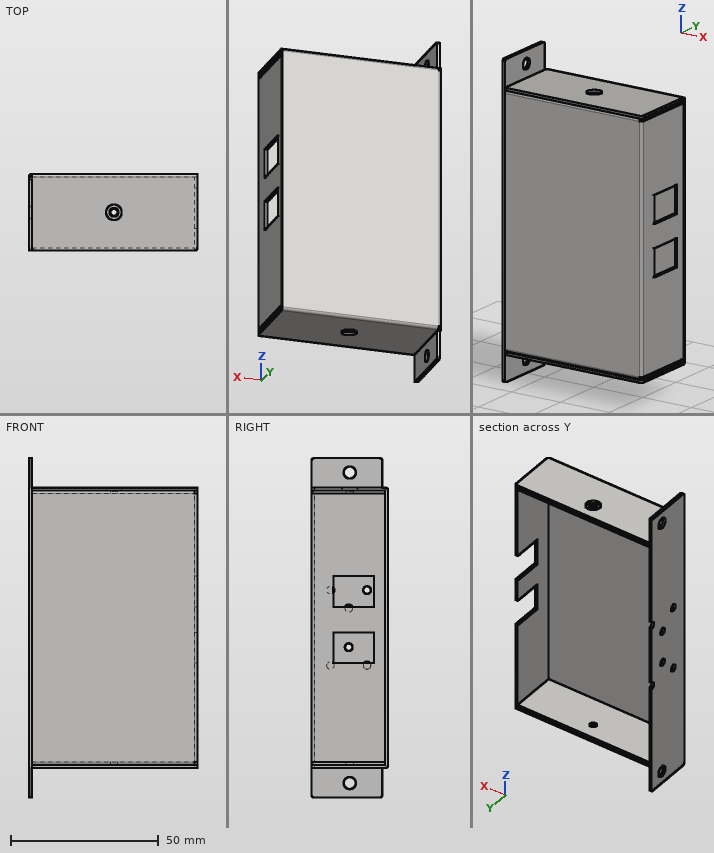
import cadquery as cq

LENGTH = 57.0
DEPTH = 26.0
PANEL_HEIGHT = 115.0
SHEET = 1.0

EAR_HEIGHT = 10.0
EAR_STEP = 2.0
EAR_HOLE_DIAMETER = 4.0
EAR_HOLE_FROM_END = 5.0

PANEL_HOLE_DIAMETER = 2.5
PANEL_HOLES_Y = 12.6
OUTER_HOLE_Y_OFFSET = 6.2
OUTER_HOLE_Z_OFFSET = 12.8
INNER_HOLE_Z_OFFSET = 6.5

SCREW_X = 28.8
FLANGE_HOLE_DIAMETER = 5.3
BORE_DIAMETER = 2.4
BORE_MOUTH_DIAMETER = 3.0

OPENING_WIDTH = 13.8
OPENING_HEIGHT = 10.4
OPENING_START_Y = 7.5
OPENING_BOTTOMS_Z = (-11.8, 7.1)

MID_Y = DEPTH / 2
BOX_TOP = PANEL_HEIGHT / 2 - EAR_HEIGHT
COVER_TOP = BOX_TOP - SHEET


def block(x_range, y_range, z_range):
    """Box between the given limits."""
    sizes = [end - start for start, end in (x_range, y_range, z_range)]
    corner = (x_range[0], y_range[0], z_range[0])
    return cq.Workplane("XY").box(*sizes, centered=False).translate(corner)


def x_cylinder(diameter, y, z):
    """Cutter along X through the front panel."""
    return cq.Workplane("YZ").center(y, z).circle(diameter / 2).extrude(SHEET)


def z_cylinder(diameter, bottom, height):
    """Cutter along Z on the axis of the flange screws."""
    return cq.Workplane("XY", origin=(SCREW_X, MID_Y, bottom)).circle(diameter / 2).extrude(height)


def bore_mouth(side):
    """Cone at 45 degrees, narrowing inwards from the top (side 1) or bottom (side -1) of the cover."""
    depth = (BORE_MOUTH_DIAMETER - BORE_DIAMETER) / 2
    mouth = cq.Workplane("XY", origin=(SCREW_X, MID_Y, side * COVER_TOP)).circle(BORE_MOUTH_DIAMETER / 2)
    return mouth.workplane(offset=-side * depth).circle(BORE_DIAMETER / 2).loft(ruled=True)


def front_panel():
    """Flat plate with rounded ears, mounting holes and small holes."""
    ears = block((0, SHEET), (0, DEPTH - EAR_STEP), (-PANEL_HEIGHT / 2, PANEL_HEIGHT / 2))
    ears = ears.edges("|X").fillet(SHEET)
    panel = ears.union(block((0, SHEET), (MID_Y, DEPTH - SHEET), (-BOX_TOP, BOX_TOP)))
    ear_hole_z = PANEL_HEIGHT / 2 - EAR_HOLE_FROM_END
    for side in (-1, 1):
        panel = panel.cut(x_cylinder(EAR_HOLE_DIAMETER, MID_Y, side * ear_hole_z))
        panel = panel.cut(x_cylinder(PANEL_HOLE_DIAMETER, PANEL_HOLES_Y, side * INNER_HOLE_Z_OFFSET))
        for y_offset in (-OUTER_HOLE_Y_OFFSET, OUTER_HOLE_Y_OFFSET):
            hole_z = side * OUTER_HOLE_Z_OFFSET
            panel = panel.cut(x_cylinder(PANEL_HOLE_DIAMETER, PANEL_HOLES_Y + y_offset, hole_z))
    return panel


def corner_reliefs(x_range, y_range, top):
    """Cutters one sheet thick in Z, for the corners at the top and bottom where bends meet."""
    upper = block(x_range, y_range, (top - SHEET, top))
    return upper.union(block(x_range, y_range, (-top, SHEET - top)))


def make_housing():
    """Front panel, back wall, and top and bottom flanges, bent from one sheet."""
    shell = block((0, LENGTH), (0, DEPTH), (-BOX_TOP, BOX_TOP))
    inside = block((0, LENGTH), (0, DEPTH - SHEET), (-COVER_TOP, COVER_TOP))
    walls = shell.faces(">Y").edges("|X or <X").fillet(SHEET)
    walls = walls.cut(inside)
    walls = walls.cut(block((0, SHEET), (0, DEPTH - SHEET), (-BOX_TOP, BOX_TOP)))
    walls = walls.cut(corner_reliefs((0, SHEET), (DEPTH - SHEET, DEPTH), BOX_TOP))
    walls = walls.edges("|Z and <Y").fillet(SHEET)
    walls = walls.cut(z_cylinder(FLANGE_HOLE_DIAMETER, -BOX_TOP, 2 * BOX_TOP))
    return walls.union(front_panel())


def make_cover():
    """Wall closing the open side, with an end wall and two flanges inside the housing."""
    back = DEPTH - SHEET
    shell = block((SHEET, LENGTH), (0, back), (-COVER_TOP, COVER_TOP))
    cover = shell.faces("<Y").edges("|X or >X").fillet(SHEET)
    inner_top = COVER_TOP - SHEET
    cover = cover.cut(block((SHEET, LENGTH - SHEET), (SHEET, back), (-inner_top, inner_top)))
    cover = cover.cut(corner_reliefs((LENGTH - SHEET, LENGTH), (0, back), COVER_TOP))
    cover = cover.cut(z_cylinder(BORE_DIAMETER, -COVER_TOP, 2 * COVER_TOP))
    for side in (-1, 1):
        cover = cover.cut(bore_mouth(side))
    opening_y = (OPENING_START_Y, OPENING_START_Y + OPENING_WIDTH)
    for bottom in OPENING_BOTTOMS_Z:
        cover = cover.cut(block((LENGTH - SHEET, LENGTH), opening_y, (bottom, bottom + OPENING_HEIGHT)))
    return cover


housing = make_housing()
cover = make_cover()

result = cq.Compound.makeCompound([housing.val(), cover.val()])